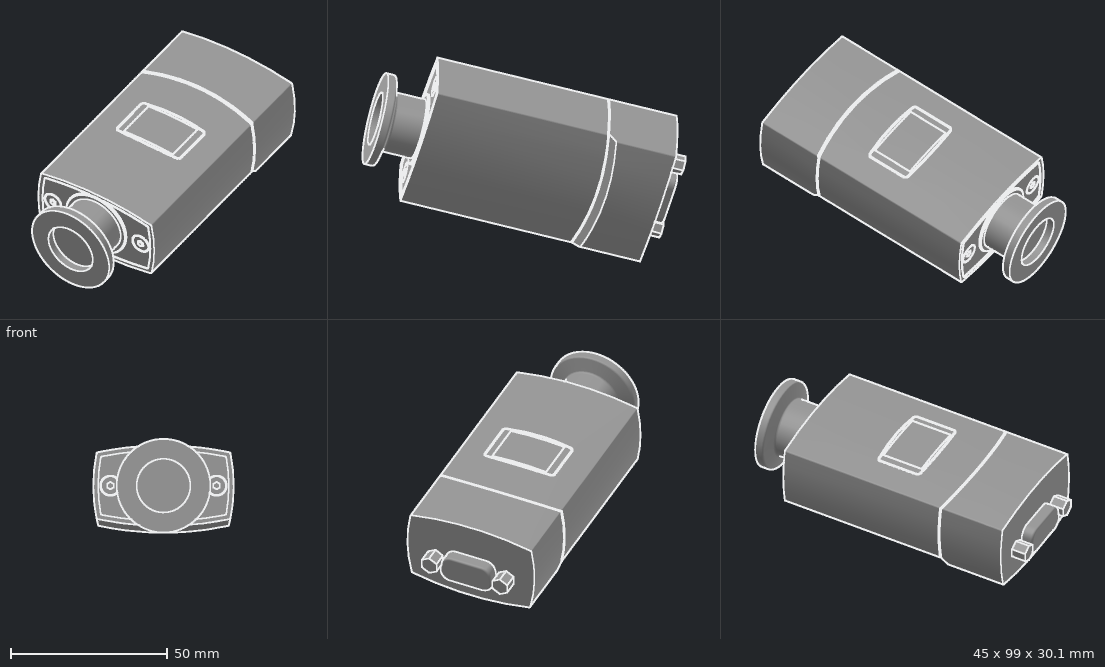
import math

import cadquery as cq

HOUSING_FRONT = 14.5
JOINT_FRONT = 71.3
HOUSING_BACK = 94.2
OVERALL_LENGTH = 99.0

HALF_WIDTH = 22.5
SIDE_BOW_RADIUS = 52.0
HALF_HEIGHT = 12.9
CORNER_HEIGHT = 10.65
CORNER_RADIUS = 0.6
REAR_DROP = 2.2

JOINT_WIDTH = 0.4
JOINT_DEPTH = 0.3
JOINT_BEND_HEIGHT = 10.3
JOINT_OVERSHOOT = 1.0

RIM_WIDTH = 1.6
PLATE_RECESS = 0.25
SCREW_SPACING = 34.0
SCREW_HEAD_DIAMETER = 6.0
SCREW_BORE_DIAMETER = 6.5
SCREW_GAP_DEPTH = 0.5
SOCKET_CORNER_DIAMETER = 2.4
SOCKET_DEPTH = 1.2

FLANGE_DIAMETER = 30.0
FLANGE_RIM = 2.9
FLANGE_RIM_RADIUS = 0.7
FLANGE_CONE_ANGLE = 15.0
NECK_DIAMETER = 19.5
NECK_FILLET = 0.7
BORE_DIAMETER = 17.2
BORE_DEPTH = 2.8
COLLAR_DIAMETER = 23.2
COLLAR_HEIGHT = 0.35
COLLAR_CHAMFER = 0.3
HOUSING_OVERLAP = 1.0

WINDOW_Y = 51.0
BEZEL_WIDTH = 24.8
BEZEL_SIDE_LENGTH = 15.2
BEZEL_MIDDLE_LENGTH = 16.6
BEZEL_CORNER_RADIUS = 1.2
BEZEL_GROOVE_WIDTH = 0.3
BEZEL_GROOVE_DEPTH = 0.4
SCREEN_WIDTH = 19.0
SCREEN_LENGTH = 14.0
SCREEN_DEPTH = 0.15

CONNECTOR_Z = -3.6
SHELL_WIDTH = 18.3
SHELL_HEIGHT = 9.45
SHELL_PROTRUSION = 4.0
SHELL_CORNER_RADIUS = 3.5
SHELL_TAPER_ANGLE = 10.0
SHELL_EDGE_RADIUS = 0.8
JACKSCREW_SPACING = 25.0
JACKSCREW_CORNER_DIAMETER = 6.0


def side_x(z):
    """Half-width of the bowed side at height z."""
    return HALF_WIDTH - SIDE_BOW_RADIUS + math.sqrt(SIDE_BOW_RADIUS**2 - z**2)


def housing_prism(y_start, y_end, drop=0.0, inset=0.0):
    """Bowed section between two stations; drop lowers its bottom, inset shrinks it."""
    top_z = CORNER_HEIGHT
    bottom_z = -CORNER_HEIGHT - drop
    middle_z = (top_z + bottom_z) / 2
    section = (
        cq.Workplane("XZ", origin=(0, y_start, 0))
        .moveTo(-side_x(top_z), top_z)
        .threePointArc((0, HALF_HEIGHT), (side_x(top_z), top_z))
        .threePointArc((side_x(middle_z), middle_z), (side_x(bottom_z), bottom_z))
        .threePointArc((0, -HALF_HEIGHT - drop), (-side_x(bottom_z), bottom_z))
        .threePointArc((-side_x(middle_z), middle_z), (-side_x(top_z), top_z))
        .close()
    )
    if inset:
        section = section.offset2D(-inset)
    return section.extrude(y_start - y_end).edges("|Y").fillet(CORNER_RADIUS)


def joint_region(front, back):
    """Block across the full width bounded by two stations on the bent joint line."""
    reach = HALF_HEIGHT + REAR_DROP + JOINT_OVERSHOOT
    lean = reach - JOINT_BEND_HEIGHT
    outline = [
        (front + lean, -reach),
        (front, -JOINT_BEND_HEIGHT),
        (front, JOINT_BEND_HEIGHT),
        (front + lean, reach),
        (back + lean, reach),
        (back, JOINT_BEND_HEIGHT),
        (back, -JOINT_BEND_HEIGHT),
        (back + lean, -reach),
    ]
    return cq.Workplane("YZ").polyline(outline).close().extrude(HALF_WIDTH + JOINT_OVERSHOOT, both=True)


def make_housing():
    """Straight housing joined to a taller rear cap, with a groove along their joint."""
    front = housing_prism(HOUSING_FRONT, HOUSING_BACK)
    rear_cap = housing_prism(JOINT_FRONT, HOUSING_BACK, REAR_DROP)
    rear_cap = rear_cap.intersect(joint_region(JOINT_FRONT, HOUSING_BACK))
    groove = joint_region(JOINT_FRONT, JOINT_FRONT + JOINT_WIDTH)
    core = housing_prism(HOUSING_FRONT, HOUSING_BACK, inset=JOINT_DEPTH)
    return front.union(rear_cap).cut(groove.cut(core))


def cut_end_plate(body):
    """Recess the end face inside its rim and outline two socket-head screws in it."""
    plate_y = HOUSING_FRONT + PLATE_RECESS
    body = body.cut(housing_prism(HOUSING_FRONT, plate_y, inset=RIM_WIDTH))
    for x in (-SCREW_SPACING / 2, SCREW_SPACING / 2):
        face = cq.Workplane("XZ", origin=(x, plate_y, 0))
        gap = (
            face.circle(SCREW_BORE_DIAMETER / 2)
            .circle(SCREW_HEAD_DIAMETER / 2)
            .extrude(-SCREW_GAP_DEPTH)
        )
        turned_face = face.transformed(rotate=(0, 0, 90))
        socket = turned_face.polygon(6, SOCKET_CORNER_DIAMETER).extrude(-SOCKET_DEPTH)
        body = body.cut(gap).cut(socket)
    return body


def ring_at(y):
    """Selector for the circular edge centred on the Y axis at the given station."""
    return cq.selectors.NearestToPointSelector((0, y, 0))


def make_flange():
    """Flange, neck and collar turned about the Y axis, with a blind bore."""
    flange_r = FLANGE_DIAMETER / 2
    neck_r = NECK_DIAMETER / 2
    collar_r = COLLAR_DIAMETER / 2
    cone_end = FLANGE_RIM + (flange_r - neck_r) * math.tan(math.radians(FLANGE_CONE_ANGLE))
    collar_face = HOUSING_FRONT - COLLAR_HEIGHT
    inner_end = HOUSING_FRONT + HOUSING_OVERLAP
    outline = [
        (0, 0),
        (flange_r, 0),
        (flange_r, FLANGE_RIM),
        (neck_r, cone_end),
        (neck_r, collar_face),
        (collar_r - COLLAR_CHAMFER, collar_face),
        (collar_r, collar_face + COLLAR_CHAMFER),
        (collar_r, inner_end),
        (0, inner_end),
    ]
    flange = cq.Workplane("XY").polyline(outline).close().revolve(360, (0, 0, 0), (0, 1, 0))
    flange = flange.edges(ring_at(FLANGE_RIM)).fillet(FLANGE_RIM_RADIUS)
    flange = flange.edges(ring_at(cone_end)).fillet(NECK_FILLET)
    bore = cq.Workplane("XZ").circle(BORE_DIAMETER / 2).extrude(-BORE_DEPTH)
    return flange.cut(bore)


def bezel_outline():
    """Window outline whose front and back edges bow outward."""
    x = BEZEL_WIDTH / 2
    y_side = BEZEL_SIDE_LENGTH / 2
    y_middle = BEZEL_MIDDLE_LENGTH / 2
    return (
        cq.Workplane("XY")
        .center(0, WINDOW_Y)
        .moveTo(-x, -y_side)
        .threePointArc((0, -y_middle), (x, -y_side))
        .lineTo(x, y_side)
        .threePointArc((0, y_middle), (-x, y_side))
        .close()
    )


def cut_window(body):
    """Thin groove around the bezel and a shallow screen recess, both following the top face."""
    outer = bezel_outline().extrude(HALF_HEIGHT).edges("|Z").fillet(BEZEL_CORNER_RADIUS)
    inner = bezel_outline().offset2D(-BEZEL_GROOVE_WIDTH).extrude(HALF_HEIGHT)
    inner = inner.edges("|Z").fillet(BEZEL_CORNER_RADIUS - BEZEL_GROOVE_WIDTH)
    groove_floor = housing_prism(HOUSING_FRONT, HOUSING_BACK, inset=BEZEL_GROOVE_DEPTH)
    screen_floor = housing_prism(HOUSING_FRONT, HOUSING_BACK, inset=SCREEN_DEPTH)
    screen = cq.Workplane("XY").center(0, WINDOW_Y).rect(SCREEN_WIDTH, SCREEN_LENGTH).extrude(HALF_HEIGHT)
    return body.cut(outer.cut(inner).cut(groove_floor)).cut(screen.cut(screen_floor))


def make_connector():
    """D-shaped shell, wider at the bottom, between two hexagonal jackscrews."""
    taper = math.tan(math.radians(SHELL_TAPER_ANGLE))
    half_height = SHELL_HEIGHT / 2
    corner_setback = SHELL_CORNER_RADIUS * math.tan(math.radians(45 + SHELL_TAPER_ANGLE / 2))
    bottom_x = SHELL_WIDTH / 2 - SHELL_CORNER_RADIUS + corner_setback
    top_x = bottom_x - SHELL_HEIGHT * taper
    back = cq.Workplane("XZ", origin=(0, HOUSING_BACK, CONNECTOR_Z))
    shell = (
        back.polyline(
            [
                (-bottom_x, -half_height),
                (bottom_x, -half_height),
                (top_x, half_height),
                (-top_x, half_height),
            ]
        )
        .close()
        .extrude(-SHELL_PROTRUSION)
        .edges("|Y")
        .fillet(SHELL_CORNER_RADIUS)
        .faces(">Y")
        .edges()
        .fillet(SHELL_EDGE_RADIUS)
    )
    jackscrews = (
        back.transformed(rotate=(0, 0, 90))
        .pushPoints([(0, -JACKSCREW_SPACING / 2), (0, JACKSCREW_SPACING / 2)])
        .polygon(6, JACKSCREW_CORNER_DIAMETER)
        .extrude(HOUSING_BACK - OVERALL_LENGTH)
    )
    return shell.union(jackscrews)


housing = cut_window(cut_end_plate(make_housing()))
result = housing.union(make_flange()).union(make_connector())